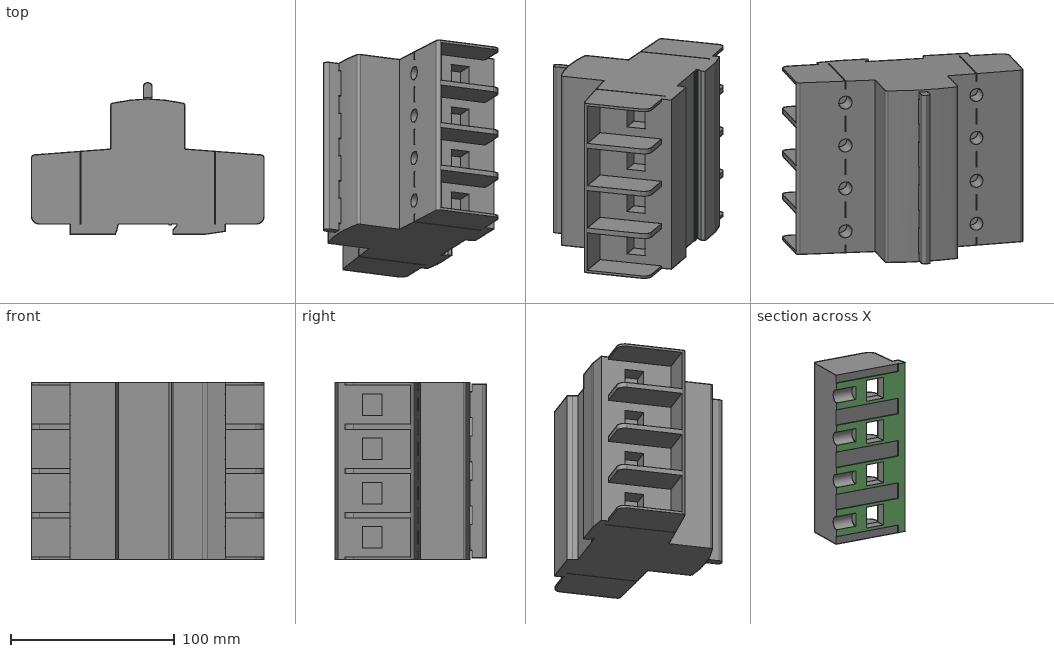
import cadquery as cq

module_count = 4
stack_height = 108.0
module_pitch = stack_height / module_count

half_length = 71.0
foot_depth = 6.2
wing_tip_y = 48.4
wing_root_y = 52.1
crown_half_width = 22.7
crown_side_y = 79.8
crown_top_y = 82.5
wing_front_radius = 2.1
wing_back_radius = 5.0
crown_radius = 1.7

foot_outer_x = 47.4
left_foot_tip_x = -19.7
left_foot_bend_x = -18.7
left_foot_bend_y = 3.0
left_foot_root_x = -17.9
right_foot_tip_x = 15.3
hook_start_y = 2.7
hook_end_y = 5.4
hook_root_x = 17.8
foot_ramp_x = 35.0
foot_ramp_y = 1.8
foot_ramp_radius = 19.9
stop_start_x = 12.9
stop_width = 1.5
stop_height = 0.5

terminal_wall_x = foot_outer_x
compartment_roof_y = 46.0
plate_thickness = 1.5
window_bottom_y = 16.9
window_width = 11.8
window_height = 13.0
window_depth = 12.8
slot_x = 41.0
slot_width = 0.4
slot_depth = 4.8
screw_hole_diameter = 8.1
screw_hole_bottom_y = 36.9

toggle_width = 5.4
toggle_tip_radius = 2.5
toggle_top_y = 92.6
bar_bottom_y = 83.6
bar_end_gap = 1.0
post_length = 15.9

edge_search_reach = 0.1


def round_edges(solid, x, y, radius):
    """Fillet the upright edges at (-x, y) and (x, y)."""
    for side in (-1, 1):
        selector = cq.selectors.BoxSelector(
            (side * x - edge_search_reach, y - edge_search_reach, 0),
            (side * x + edge_search_reach, y + edge_search_reach, stack_height),
        )
        solid = solid.edges("|Z").edges(selector).fillet(radius)
    return solid


def make_body():
    outline = (
        cq.Workplane("XY")
        .moveTo(-half_length, foot_depth)
        .lineTo(-half_length, wing_tip_y)
        .lineTo(-crown_half_width, wing_root_y)
        .lineTo(-crown_half_width, crown_side_y)
        .threePointArc((0, crown_top_y), (crown_half_width, crown_side_y))
        .lineTo(crown_half_width, wing_root_y)
        .lineTo(half_length, wing_tip_y)
        .lineTo(half_length, foot_depth)
        .close()
    )
    body = outline.extrude(stack_height)

    body = round_edges(body, half_length, foot_depth, wing_back_radius)
    body = round_edges(body, half_length, wing_tip_y, wing_front_radius)
    return round_edges(body, crown_half_width, crown_side_y, crown_radius)


def make_feet():
    left_foot = (
        cq.Workplane("XY")
        .moveTo(-foot_outer_x, foot_depth)
        .lineTo(-foot_outer_x, 0)
        .lineTo(left_foot_tip_x, 0)
        .lineTo(left_foot_bend_x, left_foot_bend_y)
        .lineTo(left_foot_root_x, foot_depth)
        .close()
        .extrude(stack_height)
    )
    right_foot = (
        cq.Workplane("XY")
        .moveTo(right_foot_tip_x, 0)
        .lineTo(right_foot_tip_x, hook_start_y)
        .lineTo(hook_root_x, hook_end_y)
        .lineTo(hook_root_x, foot_depth)
        .lineTo(foot_outer_x, foot_depth)
        .lineTo(foot_outer_x, foot_ramp_y)
        .lineTo(foot_ramp_x, 0)
        .close()
        .extrude(stack_height)
    )
    ramp_edge = cq.selectors.NearestToPointSelector((foot_ramp_x, 0, stack_height / 2))
    right_foot = right_foot.edges("|Z").edges(ramp_edge).fillet(foot_ramp_radius)
    rail_stop = cq.Workplane("XY").box(stop_width, stop_height, stack_height, centered=False)
    rail_stop = rail_stop.translate((stop_start_x, foot_depth - stop_height, 0))
    return left_foot.union(right_foot).union(rail_stop)


def box_between(x_range, y_range, z_range):
    sizes = [high - low for low, high in (x_range, y_range, z_range)]
    corner = (x_range[0], y_range[0], z_range[0])
    return cq.Workplane("XY").box(*sizes, centered=False).translate(corner)


def mirrored(solid):
    return solid.union(solid.mirror("YZ"))


def terminal_cut(module):
    """Compartment and window pocket at both ends of one module."""
    bottom = module * module_pitch
    middle = bottom + module_pitch / 2
    compartment = box_between(
        (terminal_wall_x, half_length),
        (foot_depth, compartment_roof_y),
        (bottom + plate_thickness, bottom + module_pitch - plate_thickness),
    )
    window = box_between(
        (terminal_wall_x - window_depth, terminal_wall_x),
        (window_bottom_y, window_bottom_y + window_width),
        (middle - window_height / 2, middle + window_height / 2),
    )
    return mirrored(compartment.union(window))


def screw_hole_cut(module):
    """Round terminal screw holes from the front of both wings."""
    middle = (module + 0.5) * module_pitch
    hole = (
        cq.Workplane("XZ", origin=(slot_x, wing_root_y, middle))
        .circle(screw_hole_diameter / 2)
        .extrude(wing_root_y - screw_hole_bottom_y)
    )
    return mirrored(hole)


def slot_cut(module):
    """Thin slots across both wings, cut into the lower and upper faces of one module."""
    bottom = module * module_pitch
    top = bottom + module_pitch
    x_range = (slot_x - slot_width / 2, slot_x + slot_width / 2)
    y_range = (foot_depth, wing_root_y)
    lower_slot = box_between(x_range, y_range, (bottom, bottom + slot_depth))
    upper_slot = box_between(x_range, y_range, (top - slot_depth, top))
    return mirrored(lower_slot.union(upper_slot))


def make_toggle():
    half_width = toggle_width / 2
    bar = box_between(
        (-half_width, half_width),
        (bar_bottom_y, toggle_top_y),
        (bar_end_gap, stack_height - bar_end_gap),
    )
    toggle = bar.edges("|Z and >Y").fillet(toggle_tip_radius)
    for module in range(module_count):
        middle = (module + 0.5) * module_pitch
        post = box_between(
            (-half_width, half_width),
            (crown_side_y, bar_bottom_y),
            (middle - post_length / 2, middle + post_length / 2),
        )
        toggle = toggle.union(post)
    return toggle


result = make_body().union(make_feet())
for module in range(module_count):
    result = result.cut(terminal_cut(module))
    result = result.cut(screw_hole_cut(module))
    result = result.cut(slot_cut(module))
result = result.union(make_toggle())